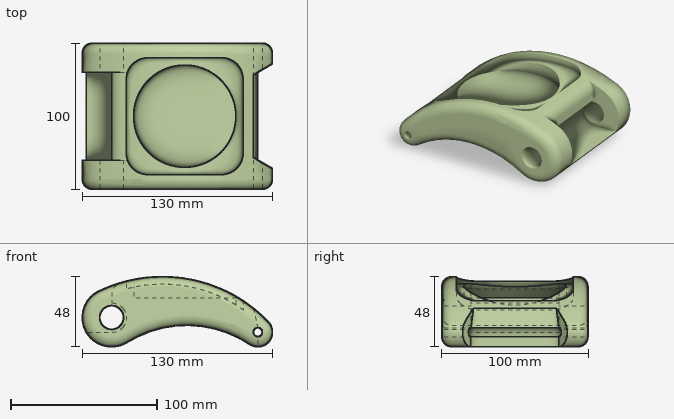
import cadquery as cq
import math

width = 100.0
hinge_radius = 20.0
hinge_bore_radius = 8.0
tip_radius = hinge_radius / 2
tip_bore_radius = 3.0
tip_x = width
tip_z = tip_radius - hinge_radius
back_radius = 100.0
belly_radius = 77.5
side_fillet = 7.0

slot_width = 60.0
slot_clearance_radius = 10.0
slot_lip_fillet = 8.0

recess_size = 80.0
recess_corner = 15.0
recess_depth = 5.0
recess_x = tip_x / 2
seat_radius = 35.0
seat_z = 13.5

notch_top_x = 97.0
notch_bottom_x = tip_x
notch_top_z = 6.2
notch_bottom_z = tip_z + tip_bore_radius
notch_half_width = 30.0
notch_flare = math.tan(math.radians(30))

reach = 2 * width


def arc_center(hinge_distance, tip_distance):
    """Point below both ends at the given distances from the hinge and tip axes."""
    span = math.hypot(tip_x, tip_z)
    along = (span**2 + hinge_distance**2 - tip_distance**2) / (2 * span)
    below = math.sqrt(hinge_distance**2 - along**2)
    return (
        (along * tip_x + below * tip_z) / span,
        (along * tip_z - below * tip_x) / span,
    )


def point_toward(start, target, distance):
    """Point at a distance from start, in the direction of target."""
    length = math.dist(start, target)
    return tuple(s + (t - s) * distance / length for s, t in zip(start, target))


def extrude_across(sketch, depth):
    """Extrude an XZ sketch symmetrically about the middle plane."""
    return sketch.extrude(depth / 2, both=True)


hinge = (0, 0)
tip = (tip_x, tip_z)
back_center = arc_center(back_radius - hinge_radius, back_radius - tip_radius)
belly_center = arc_center(belly_radius + hinge_radius, belly_radius + tip_radius)


def make_body():
    """Curved arm whose four arcs meet tangentially, rounded along both sides."""
    back_start = point_toward(hinge, back_center, -hinge_radius)
    back_top = (back_center[0], back_center[1] + back_radius)
    back_end = point_toward(tip, back_center, -tip_radius)
    tip_end = (tip_x + tip_radius, tip_z)
    belly_start = point_toward(tip, belly_center, tip_radius)
    belly_top = (belly_center[0], belly_center[1] + belly_radius)
    belly_end = point_toward(hinge, belly_center, hinge_radius)
    outline = (
        cq.Workplane("XZ")
        .moveTo(*back_start)
        .threePointArc(back_top, back_end)
        .threePointArc(tip_end, belly_start)
        .threePointArc(belly_top, belly_end)
        .threePointArc((-hinge_radius, 0), back_start)
        .close()
    )
    return extrude_across(outline, width).faces("<Y or >Y").edges().fillet(side_fillet)


def cut_hinge_slot(body):
    """Open the hinge end between two cheeks and round the lip above the slot."""
    opening = cq.Workplane("XY").box(
        reach, slot_width, reach, centered=(False, True, False)
    ).translate((-reach, 0, -slot_clearance_radius))
    barrel = extrude_across(cq.Workplane("XZ").circle(slot_clearance_radius), slot_width)
    body = body.cut(opening).cut(barrel)
    lip_z = back_center[1] + math.sqrt(back_radius**2 - back_center[0] ** 2)
    lip = cq.selectors.NearestToPointSelector((0, 0, lip_z))
    return body.edges(lip).fillet(slot_lip_fillet)


def cut_recess(body):
    """Sink a rounded square following the back, with a level round seat across its floor."""
    square = (
        cq.Workplane("XY")
        .rect(recess_size, recess_size)
        .extrude(reach)
        .edges("|Z")
        .fillet(recess_corner)
        .translate((recess_x, 0, 0))
    )
    floor = extrude_across(
        cq.Workplane("XZ").center(*back_center).circle(back_radius - recess_depth), width
    )
    seat_clearance = (
        cq.Workplane("XY", origin=(recess_x, 0, seat_z))
        .circle(seat_radius)
        .extrude(reach)
    )
    recess = square.translate((0, 0, tip_z)).cut(floor)
    seat = cq.Workplane("XY", origin=(recess_x, 0, 0)).circle(seat_radius).extrude(seat_z)
    return body.cut(recess).cut(seat_clearance).union(seat)


def cut_tip_notch(body):
    """Flared notch between the tip lugs, with a leaning end wall."""
    wall_slope = (notch_bottom_x - notch_top_x) / (notch_bottom_z - notch_top_z)

    def wall_x(z):
        return notch_top_x + wall_slope * (z - notch_top_z)

    def half_width(x):
        return notch_half_width + notch_flare * (x - tip_x)

    inner_x = wall_x(hinge_radius)
    outer_x = tip_x + 2 * tip_radius
    flare = (
        cq.Workplane("XY")
        .polyline([
            (inner_x, -half_width(inner_x)),
            (outer_x, -half_width(outer_x)),
            (outer_x, half_width(outer_x)),
            (inner_x, half_width(inner_x)),
        ])
        .close()
        .extrude(reach, both=True)
    )
    beyond_wall = extrude_across(
        cq.Workplane("XZ")
        .moveTo(inner_x, hinge_radius)
        .lineTo(outer_x, hinge_radius)
        .lineTo(outer_x, -2 * hinge_radius)
        .lineTo(notch_bottom_x, -2 * hinge_radius)
        .lineTo(notch_bottom_x, notch_bottom_z)
        .close(),
        width,
    )
    return body.cut(flare.intersect(beyond_wall))


def cut_bores(body):
    """Pin bores through the full width at the hinge and at the tip."""
    for center, radius in ((hinge, hinge_bore_radius), (tip, tip_bore_radius)):
        body = body.cut(extrude_across(cq.Workplane("XZ").center(*center).circle(radius), reach))
    return body


result = cut_bores(cut_tip_notch(cut_recess(cut_hinge_slot(make_body()))))